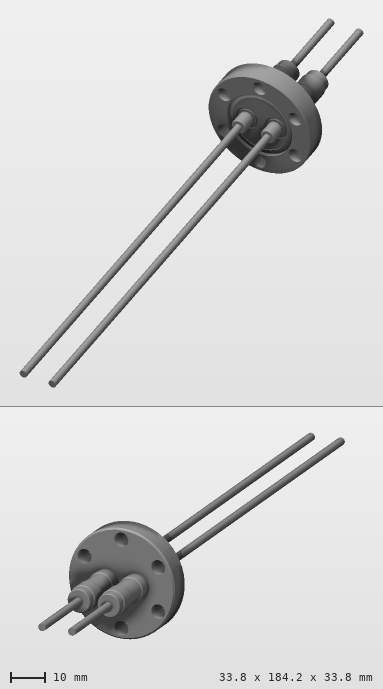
import cadquery as cq


flange_diameter = 33.78
flange_thickness = 7.24
flange_rear_chamfer = 0.5
flange_front_chamfer = 0.25
bolt_hole_diameter = 4.4
bolt_circle_diameter = 27.0
bolt_count = 6

recess_diameter = 21.4
recess_depth = 1.2
knife_diameter = 18.3
knife_tip_depth = 0.65
inner_floor_depth = 1.0

conductor_spacing = 9.5
conductor_diameter = 2.39
conductor_length = 184.15
conductor_front_reach = 132.8

sleeve_diameter = 4.8
sleeve_reach = 3.85
sleeve_tip_fillet = 0.5
groove_outer_diameter = 7.2
groove_inner_diameter = 6.0
groove_depth = 0.6

collar_diameter = 7.94
collar_length = 4.2
insulator_diameter = 7.3
insulator_length = 7.0
nut_diameter = collar_diameter
nut_length = 5.2
cap_diameter = 7.2
cap_length = 2.6
shoulder_fillet = 0.4
cap_fillet = 0.3


def cylinder(diameter, y_start, length):
    """Cylinder on the Y axis from y_start toward +Y."""
    return cq.Workplane("XZ", origin=(0, y_start, 0)).circle(diameter / 2).extrude(-length)


def make_seal_recess():
    """Recess whose sloping outer floor rises to the knife edge around a flat inner floor."""
    profile = [
        (0, 0),
        (recess_diameter / 2, 0),
        (recess_diameter / 2, recess_depth),
        (knife_diameter / 2, knife_tip_depth),
        (knife_diameter / 2, inner_floor_depth),
        (0, inner_floor_depth),
    ]
    return cq.Workplane("XY").polyline(profile).close().revolve(360, (0, 0), (0, 1))


def make_bolt_holes():
    return (
        cq.Workplane("XZ")
        .polarArray(bolt_circle_diameter / 2, 90, 360, bolt_count)
        .circle(bolt_hole_diameter / 2)
        .extrude(-flange_thickness)
    )


def make_flange():
    disc = cylinder(flange_diameter, 0, flange_thickness)
    disc = disc.faces(">Y").chamfer(flange_rear_chamfer)
    disc = disc.faces("<Y").chamfer(flange_front_chamfer)
    return disc.cut(make_seal_recess()).cut(make_bolt_holes())


def make_groove():
    """Shallow ring groove around a sleeve, sunk into the inner floor."""
    outer = cylinder(groove_outer_diameter, inner_floor_depth, groove_depth)
    return outer.cut(cylinder(groove_inner_diameter, inner_floor_depth, groove_depth))


def make_rear_body():
    """Collar, insulator, nut and cap stacked behind the flange."""
    insulator_start = flange_thickness + collar_length
    nut_start = insulator_start + insulator_length
    cap_start = nut_start + nut_length
    collar = cylinder(collar_diameter, flange_thickness, collar_length)
    collar = collar.faces(">Y").edges().fillet(shoulder_fillet)
    insulator = cylinder(insulator_diameter, insulator_start, insulator_length)
    nut = cylinder(nut_diameter, nut_start, nut_length).edges("%CIRCLE").fillet(shoulder_fillet)
    cap = cylinder(cap_diameter, cap_start, cap_length).faces(">Y").edges().fillet(cap_fillet)
    return collar.union(insulator).union(nut).union(cap)


def make_feedthrough():
    """One conductor with its front sleeve and its rear body."""
    rod = cylinder(conductor_diameter, -conductor_front_reach, conductor_length)
    sleeve = cylinder(sleeve_diameter, -sleeve_reach, sleeve_reach + flange_thickness)
    sleeve = sleeve.faces("<Y").edges().fillet(sleeve_tip_fillet)
    return rod.union(sleeve).union(make_rear_body())


def make_part():
    part = make_flange()
    groove = make_groove()
    feedthrough = make_feedthrough()
    for x in (-conductor_spacing / 2, conductor_spacing / 2):
        part = part.cut(groove.translate((x, 0, 0))).union(feedthrough.translate((x, 0, 0)))
    return part


result = make_part()